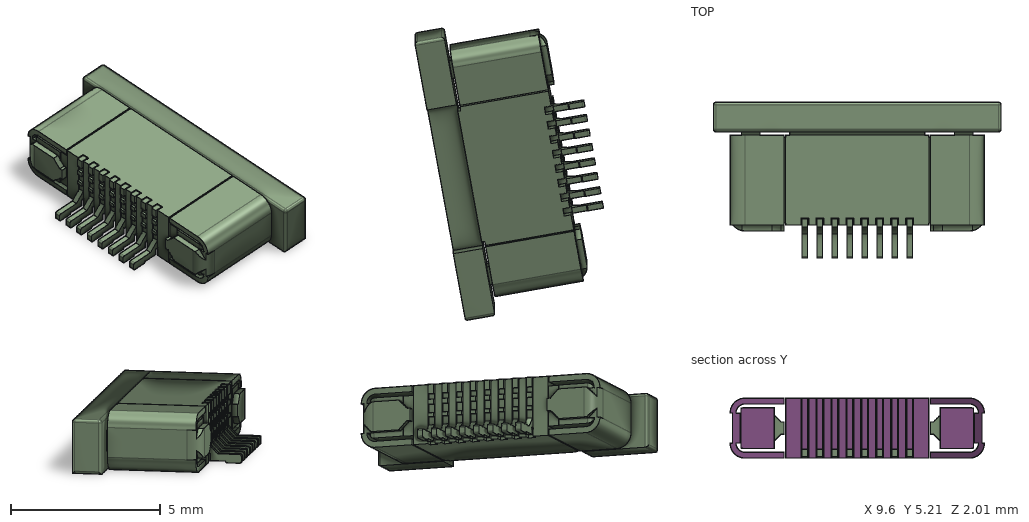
import cadquery as cq


HEIGHT = 2.01
MID_Z = HEIGHT / 2
HOUSING_WIDTH = 4.78
HOUSING_DEPTH = 3.0

LIP_WIDTH = 4.51
LIP_HEIGHT = 0.6

SLIDER_GAP = 0.11

CLAMP_OUTER_X = 4.24
CLAMP_INNER_X = 2.44
SHEET = 0.2
BEND_OUTER = 0.5
BEND_INNER = BEND_OUTER - SHEET
TAB_HEIGHT = HEIGHT - 2 * BEND_OUTER
TAB_TIP_HEIGHT = 0.42
TAB_TIP_LENGTH = 0.11
TAB_RELIEF = 0.4

ARM_HEIGHT = 1.36
ARM_OUTER_X = 3.99
ARM_FRONT_Y = 0.03
ARM_END_SETBACK = 0.07
ARM_STEP_X = 2.76
ARM_ROUND = 0.2

PIN_COUNT = 8
PIN_PITCH = 0.5
PIN_WIDTH = 0.19
SLOT_WIDTH = 0.25
SLOT_DEPTH = 0.23
PIN_BACK_GAP = 0.03
PIN_PROUD = 0.06
NOTCH_Y = 0.02
TOP_NOTCH_TOP = 1.68
TOP_NOTCH_FLOOR = 1.5
LOW_NOTCH_TOP = 1.32
LOW_NOTCH_FLOOR = 1.04
LOWEST_BLOCK_BOTTOM = 0.9
SLOPE_TOP = 0.63
FOOT_TOP = 0.3
FOOT_RAISE = 0.06
FOOT_SLOPE_Y = -0.31
FOOT_STEP_Y = -0.56
FOOT_STEP_RUN = 0.04
FOOT_END_Y = -1.1
FOOT_ROUND = 0.06

SLIDER_WIDTH = 9.6
SLIDER_DEPTH = 1.0
SLIDER_HEIGHT = 1.84
SLIDER_ROUND = 0.1
SLIDER_FRONT_Y = HOUSING_DEPTH + SLIDER_GAP
CABLE_NOTCH_WIDTH = 4.95
LEG_X = 3.55
LEG_WIDTH = 0.62
LEG_BOTTOM = 0.63
LEG_TOP = 1.33
LEG_TAPER = 1.5


def block(x0, x1, y0, y1, z0, z1):
    """Box given by its limits along each axis."""
    return cq.Workplane("XY").box(x1 - x0, y1 - y0, z1 - z0, centered=False).translate((x0, y0, z0))


def make_arm():
    """Left arm of the housing, rounded where it lies inside the clamp's bends."""
    bottom = MID_Z - ARM_HEIGHT / 2
    top = MID_Z + ARM_HEIGHT / 2
    back = HOUSING_DEPTH - ARM_END_SETBACK
    arm = block(-ARM_OUTER_X, -HOUSING_WIDTH / 2, ARM_FRONT_Y, back, bottom, top)
    arm = arm.edges("|Y and <X").fillet(ARM_ROUND)
    rounded_plan = block(-ARM_OUTER_X, -HOUSING_WIDTH / 2, ARM_FRONT_Y, back, bottom, top)
    rounded_plan = rounded_plan.edges("|Z and <X and <Y").fillet(ARM_ROUND)
    step = block(-ARM_STEP_X, -HOUSING_WIDTH / 2, ARM_FRONT_Y, ARM_END_SETBACK, bottom, top)
    return arm.intersect(rounded_plan).cut(step)


def make_pin():
    """One contact, centred on X = 0, joined to the slot's rear wall below its top block."""
    outline = [
        (-PIN_PROUD, HEIGHT),
        (-PIN_PROUD, TOP_NOTCH_TOP),
        (NOTCH_Y, TOP_NOTCH_TOP),
        (NOTCH_Y, TOP_NOTCH_FLOOR),
        (-PIN_PROUD, TOP_NOTCH_FLOOR),
        (-PIN_PROUD, LOW_NOTCH_TOP),
        (NOTCH_Y, LOW_NOTCH_TOP),
        (NOTCH_Y, LOW_NOTCH_FLOOR),
        (-PIN_PROUD, LOW_NOTCH_FLOOR),
        (-PIN_PROUD, LOWEST_BLOCK_BOTTOM),
        (NOTCH_Y, LOWEST_BLOCK_BOTTOM),
        (NOTCH_Y, SLOPE_TOP),
        (FOOT_SLOPE_Y, FOOT_TOP),
        (FOOT_END_Y, FOOT_TOP),
        (FOOT_END_Y, 0),
        (FOOT_STEP_Y - FOOT_STEP_RUN, 0),
        (FOOT_STEP_Y, FOOT_RAISE),
        (-PIN_PROUD, FOOT_RAISE),
        (-PIN_PROUD, FOOT_TOP),
        (SLOT_DEPTH, FOOT_TOP),
        (SLOT_DEPTH, TOP_NOTCH_TOP),
        (SLOT_DEPTH - PIN_BACK_GAP, TOP_NOTCH_TOP),
        (SLOT_DEPTH - PIN_BACK_GAP, HEIGHT),
    ]
    pin = cq.Workplane("YZ").polyline(outline).close().extrude(PIN_WIDTH / 2, both=True)
    for z in (0, FOOT_TOP):
        foot_end_edge = cq.selectors.NearestToPointSelector((0, FOOT_END_Y, z))
        pin = pin.edges(foot_end_edge).fillet(FOOT_ROUND)
    return pin


def make_housing():
    """Housing with its two arms, floor lip and row of contacts."""
    half = HOUSING_WIDTH / 2
    housing = block(-half, half, 0, HOUSING_DEPTH, 0, HEIGHT)
    lip = block(-LIP_WIDTH / 2, LIP_WIDTH / 2, HOUSING_DEPTH, SLIDER_FRONT_Y, 0, LIP_HEIGHT)
    arm = make_arm()
    housing = housing.union(lip).union(arm).union(arm.mirror("YZ"))

    slot = block(-SLOT_WIDTH / 2, SLOT_WIDTH / 2, 0, SLOT_DEPTH, 0, HEIGHT)
    pin = make_pin()
    for index in range(PIN_COUNT):
        x = (index - (PIN_COUNT - 1) / 2) * PIN_PITCH
        housing = housing.cut(slot.translate((x, 0, 0)))
        housing = housing.union(pin.translate((x, 0, 0)))
    return housing


def make_clamp_shell():
    """C-section of the left clamp, open toward the housing."""
    outer = block(-CLAMP_OUTER_X, -CLAMP_INNER_X, 0, HOUSING_DEPTH, 0, HEIGHT)
    outer = outer.edges("|Y and <X").fillet(BEND_OUTER)
    inner = block(-CLAMP_OUTER_X + SHEET, -CLAMP_INNER_X, 0, HOUSING_DEPTH, SHEET, HEIGHT - SHEET)
    inner = inner.edges("|Y and <X").fillet(BEND_INNER)
    return outer.cut(inner)


def make_clamp_tab():
    """Tab bent from the side wall of the left clamp across the front of the arm."""
    z0 = MID_Z - TAB_HEIGHT / 2
    z1 = MID_Z + TAB_HEIGHT / 2
    outer = block(-CLAMP_OUTER_X, -CLAMP_INNER_X, -SHEET, HOUSING_DEPTH, z0, z1)
    outer = outer.edges("|Z and <X and <Y").fillet(BEND_OUTER)
    inner = block(-CLAMP_OUTER_X + SHEET, -CLAMP_INNER_X, 0, HOUSING_DEPTH, z0, z1)
    inner = inner.edges("|Z and <X and <Y").fillet(BEND_INNER)
    behind_bend = block(-CLAMP_OUTER_X, -CLAMP_INNER_X, BEND_INNER, HOUSING_DEPTH, z0, z1)
    tab = outer.cut(inner).cut(behind_bend)

    taper = (TAB_HEIGHT - TAB_TIP_HEIGHT) / 2
    tip_start = -CLAMP_INNER_X - TAB_TIP_LENGTH
    for side in (-1, 1):
        edge = MID_Z + side * TAB_HEIGHT / 2
        relief = [
            (-CLAMP_OUTER_X, edge),
            (-CLAMP_OUTER_X + TAB_RELIEF, edge),
            (-CLAMP_OUTER_X, edge - side * TAB_RELIEF),
        ]
        tip = [
            (tip_start - taper, edge),
            (tip_start, edge - side * taper),
            (-CLAMP_INNER_X, edge - side * taper),
            (-CLAMP_INNER_X, edge),
        ]
        for corner in (relief, tip):
            tab = tab.cut(cq.Workplane("XZ").polyline(corner).close().extrude(SHEET))
    return tab


def make_clamp():
    """Left clamp: shell and tab joined through the bend in the side wall."""
    wall_opening = block(
        -CLAMP_OUTER_X,
        -CLAMP_OUTER_X + SHEET,
        0,
        BEND_INNER,
        MID_Z - TAB_HEIGHT / 2,
        MID_Z + TAB_HEIGHT / 2,
    )
    return make_clamp_shell().cut(wall_opening).union(make_clamp_tab())


def make_leg():
    """Slider leg, centred on X = 0, whose underside rises toward its tip at the arm."""
    tip_y = HOUSING_DEPTH - ARM_END_SETBACK
    rise = LEG_TAPER * (SLIDER_FRONT_Y - tip_y)
    outline = [
        (SLIDER_FRONT_Y, LEG_BOTTOM),
        (SLIDER_FRONT_Y, LEG_TOP),
        (tip_y, LEG_TOP),
        (tip_y, LEG_BOTTOM + rise),
    ]
    return cq.Workplane("YZ").polyline(outline).close().extrude(LEG_WIDTH / 2, both=True)


def make_slider():
    """Bar, rounded except along its long bottom edges, with a cable notch and a leg toward each arm."""
    half = SLIDER_WIDTH / 2
    back = SLIDER_FRONT_Y + SLIDER_DEPTH
    slider = block(-half, half, SLIDER_FRONT_Y, back, 0, SLIDER_HEIGHT)
    slider = slider.edges("not(|X and <Z)").fillet(SLIDER_ROUND)
    notch_half = CABLE_NOTCH_WIDTH / 2
    slider = slider.cut(block(-notch_half, notch_half, SLIDER_FRONT_Y, back, 0, LIP_HEIGHT))
    leg = make_leg()
    for side in (-1, 1):
        slider = slider.union(leg.translate((side * LEG_X, 0, 0)))
    return slider


housing = make_housing()
slider = make_slider()
left_clamp = make_clamp()
right_clamp = left_clamp.mirror("YZ")

bodies = [housing, slider, left_clamp, right_clamp]
result = cq.Compound.makeCompound([body.solids().val() for body in bodies])